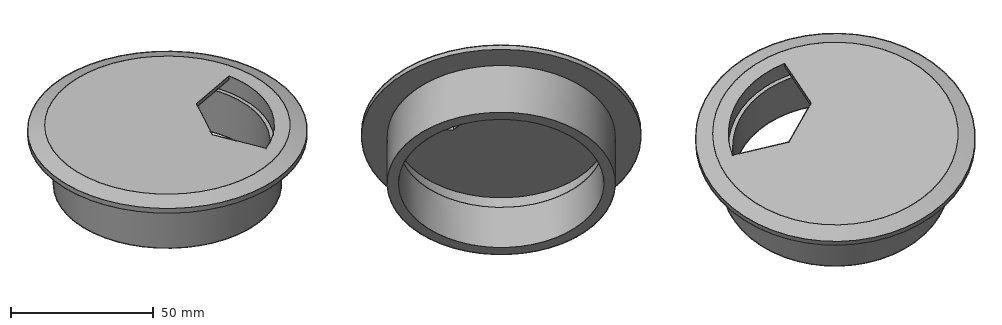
import cadquery as cq
import math

total_height = 25.0
flange_radius = 49.0
flange_top_radius = 43.0
flange_height = 4.0
rim_height = 2.0
sleeve_radius = 40.0

seat_radius = 37.5
bore_radius = 36.0
seat_depth = 7.0
lid_thickness = 1.5

opening_inner_y = 13.5
opening_inner_half_width = 10.0
opening_corner_half_width = 23.45

flange_bottom_z = total_height - flange_height
rim_top_z = flange_bottom_z + rim_height
ledge_z = total_height - seat_depth
lid_bottom_z = total_height - lid_thickness


def cylinder(radius, bottom_z, top_z):
    """Upright cylinder on the Z axis."""
    return cq.Workplane("XY", origin=(0, 0, bottom_z)).circle(radius).extrude(top_z - bottom_z)


def make_outer_body():
    """Solid sleeve with a bevelled flange at the top."""
    profile = [
        (0, total_height),
        (flange_top_radius, total_height),
        (flange_radius, rim_top_z),
        (flange_radius, flange_bottom_z),
        (sleeve_radius, flange_bottom_z),
        (sleeve_radius, 0),
        (0, 0),
    ]
    return cq.Workplane("XZ").polyline(profile).close().revolve(360, (0, 0), (0, 1))


def make_cavity():
    """Stepped round space inside the sleeve, leaving a ledge between bore and seat."""
    return cylinder(bore_radius, 0, ledge_z).union(cylinder(seat_radius, ledge_z, lid_bottom_z))


def make_opening():
    """Fan-shaped cutter whose outer arc is flush with the seat wall."""
    corner_y = math.sqrt(seat_radius**2 - opening_corner_half_width**2)
    return (
        cq.Workplane("XY", origin=(0, 0, lid_bottom_z))
        .moveTo(-opening_inner_half_width, opening_inner_y)
        .lineTo(opening_inner_half_width, opening_inner_y)
        .lineTo(opening_corner_half_width, corner_y)
        .threePointArc((0, seat_radius), (-opening_corner_half_width, corner_y))
        .close()
        .extrude(lid_thickness)
    )


result = make_outer_body().cut(make_cavity().union(make_opening()))